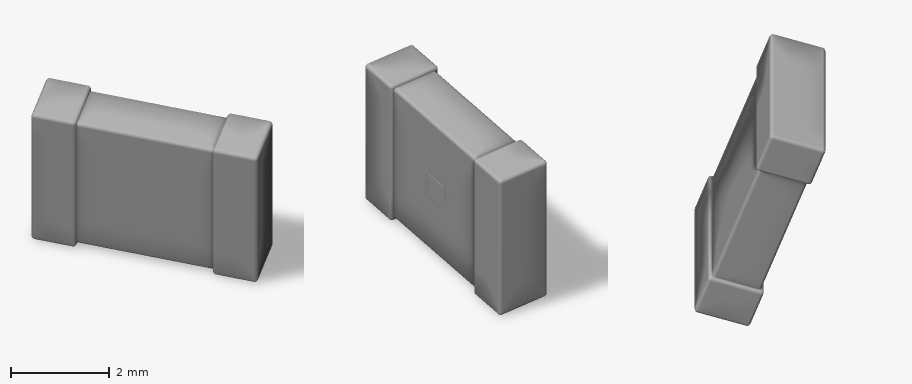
import cadquery as cq

length = 4.8
depth = 1.2
height = 3.5

terminal_length = 0.95
edge_radius = 0.07

core_length = length - 2 * terminal_length
core_depth = depth - 2 * edge_radius
core_height = height - 2 * edge_radius

mark_width = 0.535
mark_thickness = 0.01
mark_center_x = -0.06


def make_terminal(side):
    """End block with all edges rounded; side is -1 for the -X end and +1 for the +X end."""
    center_x = side * (length - terminal_length) / 2
    return (
        cq.Workplane("XY")
        .box(terminal_length, depth, height)
        .edges()
        .fillet(edge_radius)
        .translate((center_x, 0, 0))
    )


def make_core():
    """Block between the terminals, with its four long edges rounded."""
    return (
        cq.Workplane("XY")
        .box(core_length, core_depth, core_height)
        .edges("|X")
        .fillet(edge_radius)
    )


def make_mark():
    """Thin square plate lying on the +Y face of the core."""
    center_y = (core_depth + mark_thickness) / 2
    return (
        cq.Workplane("XY")
        .box(mark_width, mark_thickness, mark_width)
        .translate((mark_center_x, center_y, 0))
    )


terminals = [make_terminal(side) for side in (-1, 1)]
core = make_core()
mark = make_mark()

result = cq.Compound.makeCompound(
    [*(terminal.solids().val() for terminal in terminals), core.solids().val(), mark.val()]
)